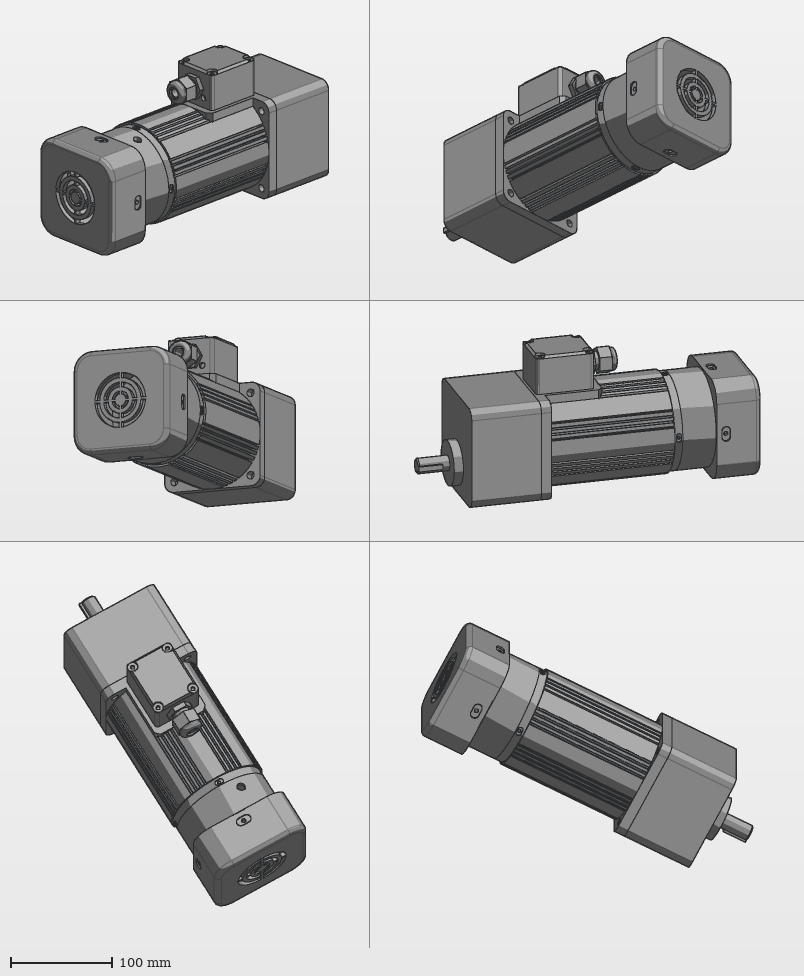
import cadquery as cq
import math


COVER_END = 46.0
TUBE_END = 80.2
RING_END = 88.7
FLANGE_START = 216.0
FLANGE_END = 226.5
GEARBOX_END = 298.2
BOSS_END = 307.7
SHAFT_END = 340.0

SIDE = 104.0
HALF_SIDE = SIDE / 2
GEARBOX_CORNER = 9.5
COVER_CORNER = 19.7

SHAFT_Z = -20.0
BOSS_RADIUS = 23.0
SHAFT_RADIUS = 7.8
SHAFT_CHAMFER = 1.5
KEY_LENGTH = 24.8
KEY_WIDTH = 5.0
KEY_REACH = 10.0
KEY_CORNER = 1.5

FLANGE_HOLE_OFFSET = 41.5
FLANGE_HOLE_DIAMETER = 7.5
GROOVE_OFFSETS = (12.5, 17.7, 22.8, 28.0)
GROOVE_WIDTH = 2.0
SIDE_GROOVE_DEPTH = 6.8
TOP_GROOVE_DEPTH = 2.0
SEAT_HALF_WIDTH = 29.2
SEAT_START = 156.0
SEAT_CHAMFER = 4.8

RING_RADIUS = 50.0
SCREW_Y = 84.0
SCREW_RECESS = (9.0, 5.0)
SCREW_RECESS_DEPTH = 1.5
SCREW_HOLE_DIAMETER = 3.0
SCREW_HOLE_DEPTH = 3.5
COVER_BORE_RADIUS = 46.0
COVER_WALL = 5.0
COVER_FILLET = 5.0
COVER_SCREW_Y = 36.0
COVER_RECESS = (15.3, 8.5)
COVER_RECESS_DEPTH = 1.7
COVER_HOLE_DIAMETER = 4.0
CABLE_HOLE_X = 16.5
CABLE_HOLE_Y = 69.5
CABLE_HOLE_DIAMETER = 8.0
GRILLE_RINGS = ((6.0, 9.0), (13.3, 18.0), (22.5, 27.5))
GRILLE_RIB = 2.5

BOX_WIDTH = 50.0
BOX_START = 164.0
BOX_LENGTH = 60.0
BOX_TOP = 89.5
BOX_CORNER = 3.5
LID_TOP = 92.0
LID_HEIGHT = LID_TOP - BOX_TOP
LID_SLOPE = 2.0
LID_EDGE = 0.05
BOX_SCREW_INSET = 5.0
BOX_POCKET_RADIUS = 5.0
BOX_HOLE_DIAMETER = 4.0
BOX_HOLE_DEPTH = 3.5
SIDE_HOLE_X = 13.0
SIDE_HOLE_Z = 62.2
SIDE_HOLE_DIAMETER = 6.0

GLAND_Z = 71.7
LOCKNUT_ACROSS_CORNERS = 26.5
LOCKNUT_END = 158.8
NECK_RADIUS = 9.2
NECK_END = 154.5
CAP_NUT_ACROSS_CORNERS = 28.0
CAP_NUT_END = 141.5
DOME_RADIUS = 12.0
DOME_END = 135.3
DOME_FILLET = 4.5
GLAND_BORE_RADIUS = 4.5
GLAND_MOUTH_RADIUS = 6.0
GLAND_MOUTH_DEPTH = 2.0


def section(y):
    """Workplane across the motor axis at y, extruding towards +Y; local x is X, local y is -Z."""
    return cq.Workplane("XZ", origin=(0, y, 0)).transformed(rotate=(180, 0, 0))


def cylinder(radius, start, end, z=0.0):
    return section(start).center(0, -z).circle(radius).extrude(end - start)


def square_block(start, end, corner):
    return section(start).rect(SIDE, SIDE).extrude(end - start).edges("|Y").fillet(corner)


def four_around(tool):
    """The tool, made on the top side, repeated on all four sides of the motor axis."""
    return [tool.rotate((0, 0, 0), (0, 1, 0), 90 * turn) for turn in range(4)]


def cut_all(body, tools):
    for tool in tools:
        body = body.cut(tool)
    return body


def make_gearbox():
    block = square_block(FLANGE_END, GEARBOX_END, GEARBOX_CORNER)
    boss = cylinder(BOSS_RADIUS, GEARBOX_END, BOSS_END, SHAFT_Z)
    bore = cylinder(SHAFT_RADIUS, GEARBOX_END, BOSS_END, SHAFT_Z)
    return block.union(boss).cut(bore)


def make_shaft():
    shaft = cylinder(SHAFT_RADIUS, GEARBOX_END, SHAFT_END, SHAFT_Z).faces(">Y").chamfer(SHAFT_CHAMFER)
    key = (
        cq.Workplane("XY")
        .box(KEY_REACH, KEY_LENGTH, KEY_WIDTH, centered=(False, False, True))
        .translate((-KEY_REACH, SHAFT_END - KEY_LENGTH, SHAFT_Z))
        .edges("|X and <Y")
        .fillet(KEY_CORNER)
    )
    return shaft.union(key)


def side_groove(offset):
    """One radial groove, offset upwards or downwards from the middle of the -X side."""
    angle = math.degrees(math.asin(offset / HALF_SIDE))
    return (
        cq.Workplane("XY")
        .box(2 * SIDE_GROOVE_DEPTH, FLANGE_START - RING_END, GROOVE_WIDTH, centered=(True, False, True))
        .translate((-HALF_SIDE, RING_END, 0))
        .rotate((0, 0, 0), (0, 1, 0), angle)
    )


def top_grooves():
    """Upright grooves on the top and bottom, their floors concentric with the cylinder."""
    length = FLANGE_START - RING_END
    slots = cq.Workplane("XY")
    for offset in GROOVE_OFFSETS:
        for center in (-offset, offset):
            slot = section(RING_END).center(center, 0).rect(GROOVE_WIDTH, SIDE).extrude(length)
            slots = slots.union(slot)
    return slots.cut(cylinder(HALF_SIDE - TOP_GROOVE_DEPTH, RING_END, FLANGE_START))


def make_frame():
    frame = cylinder(HALF_SIDE, RING_END, FLANGE_START)
    for offset in GROOVE_OFFSETS:
        for center in (-offset, offset):
            groove = side_groove(center)
            frame = frame.cut(groove).cut(groove.mirror("YZ"))
    frame = frame.cut(top_grooves())

    flange = square_block(FLANGE_START, FLANGE_END, GEARBOX_CORNER)
    hole_span = 2 * FLANGE_HOLE_OFFSET
    holes = (
        section(FLANGE_START)
        .rect(hole_span, hole_span, forConstruction=True)
        .vertices()
        .circle(FLANGE_HOLE_DIAMETER / 2)
        .extrude(FLANGE_END - FLANGE_START)
    )
    seat_bottom = math.sqrt(HALF_SIDE**2 - SEAT_HALF_WIDTH**2) - SIDE_GROOVE_DEPTH
    seat = (
        cq.Workplane("XY")
        .box(
            2 * SEAT_HALF_WIDTH,
            FLANGE_START - SEAT_START,
            HALF_SIDE - seat_bottom,
            centered=(True, False, False),
        )
        .translate((0, SEAT_START, seat_bottom))
        .edges("|Z and <Y")
        .chamfer(SEAT_CHAMFER)
    )
    return frame.union(flange.cut(holes)).union(seat)


def recess_cutter(y, size, surface, recess_depth, hole_diameter, hole_depth):
    top = cq.Workplane("XY", origin=(0, y, surface))
    recess = top.slot2D(*size).extrude(-recess_depth)
    return recess.union(top.circle(hole_diameter / 2).extrude(-hole_depth))


def make_rear_ring():
    recess = recess_cutter(
        SCREW_Y, SCREW_RECESS, RING_RADIUS, SCREW_RECESS_DEPTH, SCREW_HOLE_DIAMETER, SCREW_HOLE_DEPTH
    )
    return cut_all(cylinder(RING_RADIUS, TUBE_END, RING_END), four_around(recess))


def grille_cutter():
    slots = cq.Workplane("XY")
    for inner, outer in GRILLE_RINGS:
        slots = slots.union(section(0).circle(outer).circle(inner).extrude(COVER_WALL))
    for width, height in ((SIDE, GRILLE_RIB), (GRILLE_RIB, SIDE)):
        slots = slots.cut(section(0).rect(width, height).extrude(COVER_WALL))
    return slots


def make_fan_cover():
    hood = square_block(0, COVER_END, COVER_CORNER).faces("<Y").edges().fillet(COVER_FILLET)
    cover = hood.union(cylinder(RING_RADIUS, COVER_END, TUBE_END))
    cover = cover.cut(cylinder(COVER_BORE_RADIUS, COVER_WALL, TUBE_END)).cut(grille_cutter())
    recess = recess_cutter(
        COVER_SCREW_Y, COVER_RECESS, HALF_SIDE, COVER_RECESS_DEPTH, COVER_HOLE_DIAMETER,
        HALF_SIDE - COVER_BORE_RADIUS + COVER_WALL,
    )
    cable_hole = (
        cq.Workplane("XY", origin=(CABLE_HOLE_X, CABLE_HOLE_Y, 0))
        .circle(CABLE_HOLE_DIAMETER / 2)
        .extrude(HALF_SIDE)
    )
    return cut_all(cover, four_around(recess)).cut(cable_hole)


def make_terminal_box():
    middle = BOX_START + BOX_LENGTH / 2
    base = cq.Workplane("XY", origin=(0, middle, HALF_SIDE))
    box = base.rect(BOX_WIDTH, BOX_LENGTH).extrude(BOX_TOP - HALF_SIDE)
    top = cq.Workplane("XY", origin=(0, middle, BOX_TOP))
    lid = top.rect(BOX_WIDTH, BOX_LENGTH).extrude(LID_HEIGHT)
    box = box.union(lid).edges("|Z").fillet(BOX_CORNER)
    box = box.faces(">Z").chamfer(LID_HEIGHT - LID_EDGE, LID_SLOPE)

    screws = top.rect(
        BOX_WIDTH - 2 * BOX_SCREW_INSET, BOX_LENGTH - 2 * BOX_SCREW_INSET, forConstruction=True
    ).vertices()
    pockets = screws.circle(BOX_POCKET_RADIUS).extrude(LID_HEIGHT)
    holes = screws.circle(BOX_HOLE_DIAMETER / 2).extrude(-BOX_HOLE_DEPTH)
    side_hole = (
        section(BOX_START)
        .center(SIDE_HOLE_X, -SIDE_HOLE_Z)
        .circle(SIDE_HOLE_DIAMETER / 2)
        .extrude(BOX_HOLE_DEPTH)
    )
    return box.cut(pockets).cut(holes).cut(side_hole)


def hexagon(across_corners, start, end, turn):
    nut = section(start).polygon(6, across_corners).extrude(end - start)
    return nut.rotate((0, 0, 0), (0, 1, 0), turn).translate((0, 0, GLAND_Z))


def make_gland():
    locknut = hexagon(LOCKNUT_ACROSS_CORNERS, LOCKNUT_END, BOX_START, 0)
    neck = cylinder(NECK_RADIUS, NECK_END, LOCKNUT_END, GLAND_Z)
    cap_nut = hexagon(CAP_NUT_ACROSS_CORNERS, CAP_NUT_END, NECK_END, 30)
    dome = cylinder(DOME_RADIUS, DOME_END, CAP_NUT_END, GLAND_Z).faces("<Y").edges().fillet(DOME_FILLET)
    bore = cylinder(GLAND_BORE_RADIUS, DOME_END, BOX_START, GLAND_Z)
    mouth = cylinder(GLAND_MOUTH_RADIUS, DOME_END, DOME_END + GLAND_MOUTH_DEPTH, GLAND_Z)
    return locknut.union(neck).union(cap_nut).union(dome).cut(bore).cut(mouth)


gearbox = make_gearbox()
shaft = make_shaft()
frame = make_frame()
rear_ring = make_rear_ring()
fan_cover = make_fan_cover()
terminal_box = make_terminal_box()
gland = make_gland()

result = cq.Compound.makeCompound(
    [
        gearbox.val(),
        shaft.val(),
        frame.val(),
        rear_ring.val(),
        fan_cover.val(),
        terminal_box.val(),
        gland.val(),
    ]
)